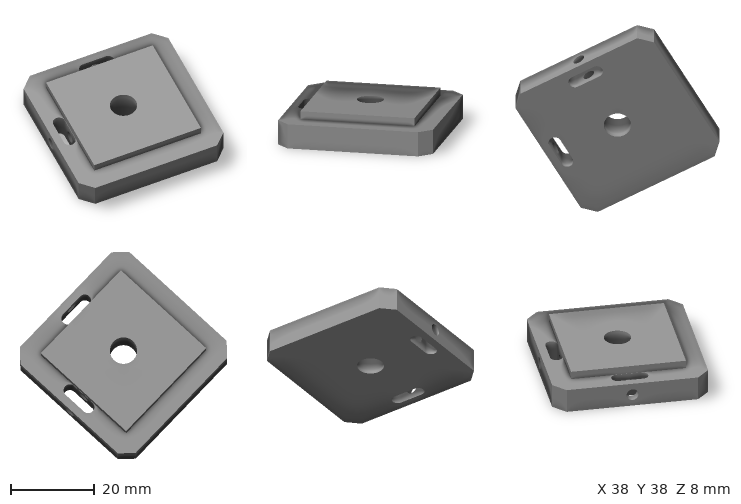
import cadquery as cq

plate_side = 38.0
plate_height = 6.0
corner_chamfer = 3.0

pad_side = 28.0
pad_height = 2.0

center_hole_diameter = 6.5

slot_length = 9.0
slot_width = 3.0
front_slot_gap = 0.05
left_slot_gap = 0.0

screw_hole_diameter = 2.9
screw_hole_depth = 10.0


def make_body():
    """Chamfered square plate carrying a smaller square pad."""
    plate = (
        cq.Workplane("XY")
        .rect(plate_side, plate_side)
        .extrude(plate_height)
        .edges("|Z")
        .chamfer(corner_chamfer)
    )
    pad = (
        cq.Workplane("XY", origin=(0, 0, plate_height))
        .rect(pad_side, pad_side)
        .extrude(pad_height)
    )
    return plate.union(pad)


def make_center_hole():
    """Vertical cylinder through the plate and the pad."""
    return cq.Workplane("XY").circle(center_hole_diameter / 2).extrude(plate_height + pad_height)


def make_side_cut(gap_to_pad):
    """Slot beside the -Y edge of the pad and the screw hole that crosses it."""
    slot_offset = pad_side / 2 + gap_to_pad + slot_width / 2
    slot = (
        cq.Workplane("XY", origin=(0, -slot_offset, 0))
        .slot2D(slot_length, slot_width)
        .extrude(plate_height)
    )
    screw_hole = (
        cq.Workplane("XZ", origin=(0, screw_hole_depth - plate_side / 2, plate_height / 2))
        .circle(screw_hole_diameter / 2)
        .extrude(screw_hole_depth)
    )
    return slot.union(screw_hole)


front_cut = make_side_cut(front_slot_gap)
left_cut = make_side_cut(left_slot_gap).rotate((0, 0, 0), (0, 0, 1), -90)

result = make_body().cut(make_center_hole()).cut(front_cut).cut(left_cut)